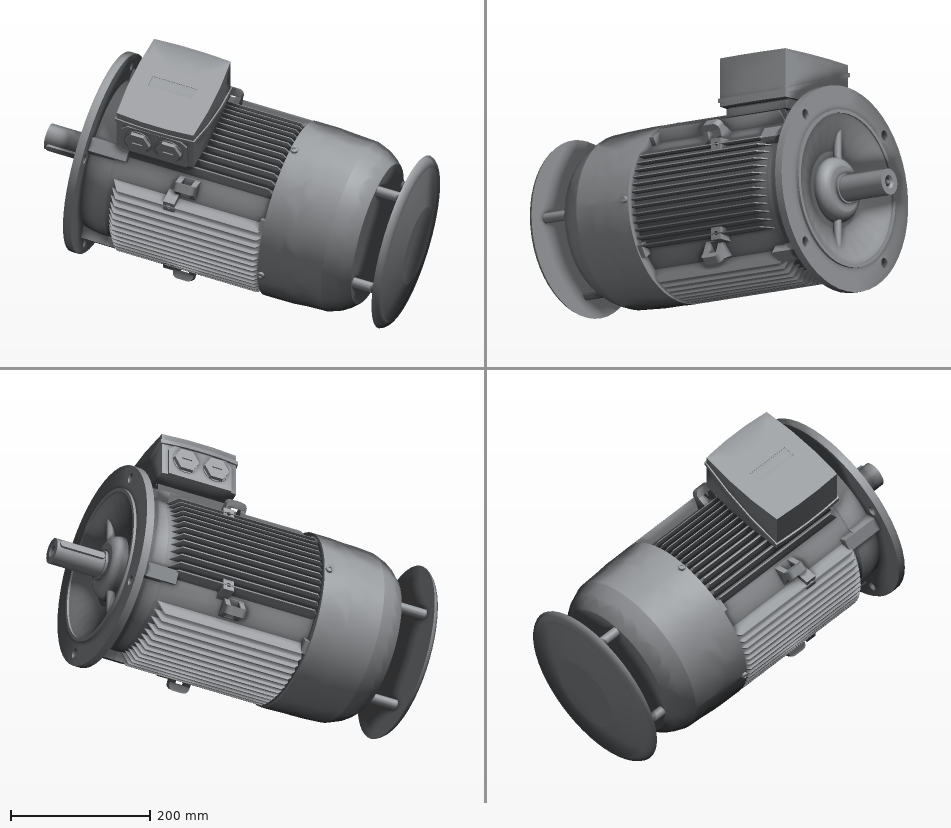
import cadquery as cq
import math


total_length = 568.0
total_height = 352.0
spigot_face_x = 76.0
flange_face_x = 80.0
hub_face_x = flange_face_x
flange_back_x = 92.0
recess_floor_x = 99.5
shield_end_x = 130.5
fin_start_x = 136.5
cowl_start_x = 372.0
cowl_shoulder_x = 468.5
cowl_end_x = 506.5
canopy_start_x = 547.5
canopy_rim_x = 558.0

shaft_diameter = 38.0
shaft_radius = shaft_diameter / 2
collar_radius = 21.5
key_width = 10.0
key_start_x = 3.5
key_end_x = 74.5
key_reach = 22.0
centre_hole_radius = 6.0
centre_hole_depth = 23.0
countersink_radius = 9.5

flange_radius = 150.0
spigot_radius = 115.0
recess_radius = 109.5
recess_lip_depth = 3.0
recess_floor_radius = 56.0
hub_root_radius = 47.5
hub_face_radius = 33.5
hub_arc_rise = 4.5
bolt_circle_radius = 132.5
bolt_hole_diameter = 15.0
rib_radius = 6.0
rib_crest_x = 87.5
rib_outer_end = 96.5

shield_front_radius = 110.0
shield_radius = 115.5
shield_arc_rise = 1.0
core_radius = 114.0
fin_tip_radius = 130.5
outer_fin_offset = 66.0
fins_each_side = 6
fin_pitch = outer_fin_offset / fins_each_side
fin_thickness = 1.5
fin_root_distance = 85.0
front_fin_chamfer = 12.0
rear_fin_chamfer = 5.5
fin_end_x = 370.5

pad_width = 20.0
pad_reach = 127.0
pad_root = 96.5
shield_pad_root_width = 30.0
front_pad_angle = 35.0
front_pad_end_x = 150.0
rear_pad_angle = 90.0 - front_pad_angle
rear_pad_start_x = 364.5

eye_angle = 45.0
eye_start_x = 230.5
eye_length = 31.0
eye_thickness = 12.5
eye_foot_thickness = 38.5
eye_reach = 143.5
eye_bar = 11.0
eye_leg = 8.0
eye_corner_radius = 8.0
eye_root = 102.0
eye_window_start = 115.5
lug_start_x = 220.0
lug_length = 17.0
lug_inner_y = 83.5
lug_outer_y = 112.0
lug_low_z = 56.0
lug_high_z = 74.5
lug_hole_diameter = 7.0
lug_hole_depth = 11.5

cowl_front_radius = 130.5
cowl_shoulder_radius = 127.0
cowl_end_radius = 105.0
cowl_wall_rise = 1.0
cowl_end_rise = 3.5
screw_x = 378.5
screw_radius = 5.0
screw_reach = 134.5
screw_rounding = 1.5
screw_socket_radius = 3.0
screw_socket_depth = 1.5
rod_circle_radius = 96.5
rod_radius = 7.5
rod_embedment = 5.5
canopy_radius = 129.5
canopy_rim_radius = 115.0
canopy_flat_radius = 58.0
canopy_rim_rise = 3.0
canopy_back_rise = 0.5

box_min_x = 136.5
box_max_x = 254.5
box_min_y = -81.0
box_max_y = 67.5
box_bottom_z = 131.0
box_top_z = total_height - flange_radius
side_bow = 4.0
front_bow = 3.5
back_bow = 2.0
seam_overhang = 2.0
seam_front_z = 192.0
seam_back_z = 142.0
seam_thickness = 6.0
pedestal_min_x = 140.5
pedestal_max_x = 249.5
pedestal_half_width = 59.0
pedestal_bottom_z = 116.5
pedestal_top_z = 128.5
neck_half_width = 54.0
gland_plate_min_x = 145.5
gland_plate_max_x = 245.5
gland_plate_top_z = 183.5
gland_plate_chamfer = 9.0
gland_plate_y = -85.0
plug_xs = (171.5, 219.0)
plug_z = 159.5
plug_radius = 19.5
plug_base_y = -86.5
plug_face_y = -92.0
plug_slot_length = 16.0
plug_slot_width = 2.0
plug_slot_depth = 1.5
nameplate_length = 68.0
nameplate_width = 19.5
nameplate_x = 194.0
nameplate_y = -8.0
nameplate_depth = 0.5

QUARTER_TURNS = (0, 90, 180, 270)


def arc_middle(start, end, rise):
    """Midpoint of an arc that rises the given amount to the left of its chord."""
    run_x = end[0] - start[0]
    run_r = end[1] - start[1]
    chord = math.hypot(run_x, run_r)
    return (
        (start[0] + end[0]) / 2 - rise * run_r / chord,
        (start[1] + end[1]) / 2 + rise * run_x / chord,
    )


def revolve_about_shaft(profile):
    """Revolve an (x, radius) profile about the X axis."""
    return profile.close().revolve(360, (0, 0, 0), (1, 0, 0))


def block(x_range, y_range, z_range):
    """Box spanning the three given (low, high) ranges."""
    sizes = [high - low for low, high in (x_range, y_range, z_range)]
    corner = (x_range[0], y_range[0], z_range[0])
    return cq.Workplane("XY", origin=corner).box(*sizes, centered=False)


def turned(body, angle):
    """Turn a body about the shaft axis, from +Y toward +Z."""
    return body.rotate((0, 0, 0), (1, 0, 0), angle)


def make_turned_body():
    """Shaft, flange with recess and hub, bearing shield, plain core and fan cowl."""
    hub_face_edge = (hub_face_x, hub_face_radius)
    hub_root = (recess_floor_x, hub_root_radius)
    shield_front = (flange_back_x, shield_front_radius)
    shield_end = (shield_end_x, shield_radius)
    cowl_front = (cowl_start_x, cowl_front_radius)
    cowl_shoulder = (cowl_shoulder_x, cowl_shoulder_radius)
    cowl_end = (cowl_end_x, cowl_end_radius)
    profile = (
        cq.Workplane("XY")
        .lineTo(0, shaft_radius)
        .lineTo(spigot_face_x, shaft_radius)
        .lineTo(spigot_face_x, collar_radius)
        .lineTo(hub_face_x, collar_radius)
        .lineTo(*hub_face_edge)
        .threePointArc(arc_middle(hub_face_edge, hub_root, hub_arc_rise), hub_root)
        .lineTo(recess_floor_x, recess_floor_radius)
        .lineTo(spigot_face_x + recess_lip_depth, recess_radius)
        .lineTo(spigot_face_x, recess_radius)
        .lineTo(spigot_face_x, spigot_radius)
        .lineTo(flange_face_x, spigot_radius)
        .lineTo(flange_face_x, flange_radius)
        .lineTo(flange_back_x, flange_radius)
        .lineTo(*shield_front)
        .threePointArc(arc_middle(shield_front, shield_end, shield_arc_rise), shield_end)
        .lineTo(shield_end_x, core_radius)
        .lineTo(cowl_start_x, core_radius)
        .lineTo(*cowl_front)
        .threePointArc(arc_middle(cowl_front, cowl_shoulder, cowl_wall_rise), cowl_shoulder)
        .threePointArc(arc_middle(cowl_shoulder, cowl_end, cowl_end_rise), cowl_end)
        .lineTo(cowl_end_x, 0)
    )
    return revolve_about_shaft(profile)


def make_recess_ribs():
    """Round ribs above and below the hub that fade into the conical recess."""
    ribs = cq.Workplane("XY", origin=(rib_crest_x + rib_radius, 0, -rib_outer_end))
    return ribs.circle(rib_radius).extrude(2 * rib_outer_end)


def make_key():
    key_length = key_end_x - key_start_x
    return (
        cq.Workplane("XZ", origin=(key_start_x + key_length / 2, 0, 0))
        .slot2D(key_length, key_width)
        .extrude(key_reach)
    )


def make_centre_hole():
    """Countersunk hole in the shaft tip."""
    return revolve_about_shaft(
        cq.Workplane("XY")
        .lineTo(0, countersink_radius)
        .lineTo(countersink_radius - centre_hole_radius, centre_hole_radius)
        .lineTo(centre_hole_depth, centre_hole_radius)
        .lineTo(centre_hole_depth, 0)
    )


def make_bolt_holes():
    offset = bolt_circle_radius * math.sqrt(2)
    return (
        cq.Workplane("YZ", origin=(flange_face_x, 0, 0))
        .rect(offset, offset, forConstruction=True)
        .vertices()
        .circle(bolt_hole_diameter / 2)
        .extrude(flange_back_x - flange_face_x)
    )


def make_fins():
    """Four packs of parallel fins on the top, bottom and both sides, trimmed to a round envelope."""
    envelope = revolve_about_shaft(
        cq.Workplane("XY")
        .moveTo(fin_start_x, 0)
        .lineTo(fin_start_x, core_radius)
        .lineTo(fin_start_x + front_fin_chamfer, fin_tip_radius)
        .lineTo(fin_end_x - rear_fin_chamfer, fin_tip_radius)
        .lineTo(fin_end_x, fin_tip_radius - rear_fin_chamfer)
        .lineTo(fin_end_x, 0)
    )
    fin_length = fin_end_x - fin_start_x
    fin_centre_x = (fin_start_x + fin_end_x) / 2
    fin_places = [(fin_centre_x, i * fin_pitch) for i in range(-fins_each_side, fins_each_side + 1)]
    pack = (
        cq.Workplane("XY", origin=(0, 0, fin_root_distance))
        .pushPoints(fin_places)
        .rect(fin_length, fin_thickness)
        .extrude(fin_tip_radius - fin_root_distance)
        .intersect(envelope)
    )
    return [turned(pack, angle) for angle in QUARTER_TURNS]


def make_pads(first_angle, start_x, end_x, root_width):
    """Four radial pads, a quarter turn apart, that may widen toward the shaft axis."""
    pad = (
        cq.Workplane("YZ", origin=(start_x, 0, 0))
        .polyline([
            (pad_root, -root_width / 2),
            (pad_reach, -pad_width / 2),
            (pad_reach, pad_width / 2),
            (pad_root, root_width / 2),
        ])
        .close()
        .extrude(end_x - start_x)
    )
    return [turned(pad, first_angle + angle) for angle in QUARTER_TURNS]


def make_lifting_eyes():
    """Four loops with a flared foot standing out radially, midway between the fin packs."""
    half_bar = eye_thickness / 2
    half_foot = eye_foot_thickness / 2
    bar_start = eye_reach - eye_bar
    eye = (
        cq.Workplane("YZ", origin=(eye_start_x, 0, 0))
        .polyline([
            (eye_root, -half_foot),
            (bar_start, -half_bar),
            (eye_reach, -half_bar),
            (eye_reach, half_bar),
            (bar_start, half_bar),
            (eye_root, half_foot),
        ])
        .close()
        .extrude(eye_length)
        .edges("|Z and >Y")
        .fillet(eye_corner_radius)
    )
    window = block(
        (eye_start_x + eye_leg, eye_start_x + eye_length - eye_leg),
        (eye_window_start, bar_start),
        (-half_foot, half_foot),
    )
    eye = eye.cut(window)
    return [turned(eye, eye_angle + angle) for angle in QUARTER_TURNS]


def make_lugs():
    """Drilled square lugs at the upper and lower ends of both side fin packs."""
    lug = block(
        (lug_start_x, lug_start_x + lug_length),
        (-lug_outer_y, -lug_inner_y),
        (lug_low_z, lug_high_z),
    )
    lug = lug.faces("<Y").workplane(centerOption="CenterOfBoundBox").hole(lug_hole_diameter, lug_hole_depth)
    upper = [lug, lug.mirror("XZ")]
    return upper + [one.mirror("XY") for one in upper]


def make_cowl_screws():
    """Cap screws on the top and both sides of the cowl rim."""
    screw = (
        cq.Workplane("XY", origin=(screw_x, 0, core_radius))
        .circle(screw_radius)
        .extrude(screw_reach - core_radius)
        .edges(">Z")
        .fillet(screw_rounding)
        .faces(">Z")
        .workplane()
        .hole(2 * screw_socket_radius, screw_socket_depth)
    )
    return [turned(screw, angle) for angle in (-90, 0, 90)]


def make_rods():
    """Four rods that carry the canopy behind the cowl, sunk a little into both."""
    start_x = cowl_end_x - rod_embedment
    end_x = canopy_start_x + rod_embedment
    rod = cq.Workplane("YZ", origin=(start_x, rod_circle_radius, 0)).circle(rod_radius)
    rod = rod.extrude(end_x - start_x)
    return [turned(rod, angle) for angle in QUARTER_TURNS]


def make_canopy():
    """Shallow rain cover with a rounded rim and a gently curved back around a flat centre."""
    front_edge = (canopy_start_x, canopy_radius)
    rim = (canopy_rim_x, canopy_rim_radius)
    flat_edge = (total_length, canopy_flat_radius)
    return revolve_about_shaft(
        cq.Workplane("XY")
        .moveTo(canopy_start_x, 0)
        .lineTo(*front_edge)
        .threePointArc(arc_middle(front_edge, rim, canopy_rim_rise), rim)
        .threePointArc(arc_middle(rim, flat_edge, canopy_back_rise), flat_edge)
        .lineTo(total_length, 0)
    )


def box_prism(overhang=0.0):
    """Upright terminal box body with four slightly bowed sides, grown outward by the overhang."""
    left, right = box_min_x - overhang, box_max_x + overhang
    front, back = box_min_y - overhang, box_max_y + overhang
    middle_x, middle_y = (left + right) / 2, (front + back) / 2
    return (
        cq.Workplane("XY", origin=(0, 0, box_bottom_z))
        .moveTo(left, front)
        .threePointArc((middle_x, front - front_bow), (right, front))
        .threePointArc((right + side_bow, middle_y), (right, back))
        .threePointArc((middle_x, back + back_bow), (left, back))
        .threePointArc((left - side_bow, middle_y), (left, front))
        .close()
        .extrude(box_top_z - box_bottom_z)
    )


def make_seam():
    """Sloping rim where the cover meets the lower half of the terminal box."""
    front = box_min_y - front_bow - seam_overhang
    back = box_max_y + back_bow + seam_overhang
    slab_start_x = box_min_x - 2 * side_bow
    slab_end_x = box_max_x + 2 * side_bow
    slab = (
        cq.Workplane("YZ", origin=(slab_start_x, 0, 0))
        .polyline([
            (front, seam_front_z),
            (back, seam_back_z),
            (back, seam_back_z - seam_thickness),
            (front, seam_front_z - seam_thickness),
        ])
        .close()
        .extrude(slab_end_x - slab_start_x)
    )
    return box_prism(seam_overhang).intersect(slab)


def make_plug(x):
    """Hexagonal cable-entry plug on a round base."""
    base = cq.Workplane("XZ", origin=(x, box_min_y, plug_z)).circle(plug_radius)
    base = base.extrude(box_min_y - plug_base_y)
    head = cq.Workplane("XZ", origin=(x, plug_base_y, plug_z)).polygon(6, 2 * plug_radius)
    head = head.extrude(plug_base_y - plug_face_y)
    slot = cq.Workplane("XZ", origin=(x, plug_face_y, plug_z)).rect(plug_slot_length, plug_slot_width)
    return base.union(head).cut(slot.extrude(-plug_slot_depth))


def make_terminal_box():
    pedestal = block(
        (pedestal_min_x, pedestal_max_x),
        (-pedestal_half_width, pedestal_half_width),
        (pedestal_bottom_z, pedestal_top_z),
    )
    neck = block(
        (pedestal_min_x, pedestal_max_x),
        (-neck_half_width, neck_half_width),
        (pedestal_bottom_z, box_bottom_z),
    )
    gland_plate = block(
        (gland_plate_min_x, gland_plate_max_x),
        (gland_plate_y, box_min_y),
        (box_bottom_z, gland_plate_top_z),
    ).edges("|Y and >Z").chamfer(gland_plate_chamfer)
    nameplate_recess = (
        cq.Workplane("XY", origin=(nameplate_x, nameplate_y, box_top_z - nameplate_depth))
        .rect(nameplate_length, nameplate_width)
        .extrude(nameplate_depth)
    )
    box = box_prism().union(pedestal).union(neck).union(make_seam()).union(gland_plate)
    for x in plug_xs:
        box = box.union(make_plug(x))
    return box.cut(nameplate_recess)


parts = [make_recess_ribs(), make_key(), make_canopy(), make_terminal_box()]
parts += make_fins()
parts += make_pads(front_pad_angle, flange_back_x, shield_end_x, shield_pad_root_width)
parts += make_pads(front_pad_angle, shield_end_x, front_pad_end_x, pad_width)
parts += make_pads(rear_pad_angle, rear_pad_start_x, cowl_start_x, pad_width)
parts += make_lifting_eyes() + make_lugs()
parts += make_cowl_screws() + make_rods()

result = make_turned_body().cut(make_centre_hole()).cut(make_bolt_holes())
for part in parts:
    result = result.union(part)